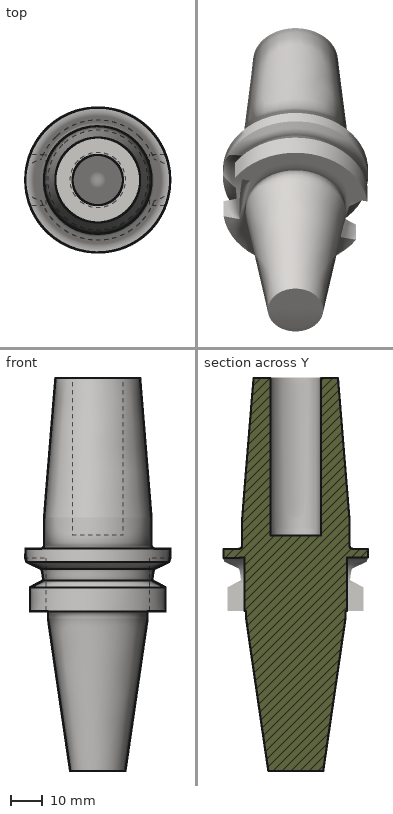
import cadquery as cq
import math

total_height = 124.6
gauge_height = 48.3
flange_bottom = 50.6
flange_thickness = 19.9
flange_top = flange_bottom + flange_thickness
nose_cone_start = 80.2

gauge_radius = 15.8
flange_radius = 22.99
groove_radius = 19.1
nose_radius = 17.1
nose_tip_radius = 13.5
bore_radius = 8.0

taper_on_diameter = 7 / 24
taper_end_radius = gauge_radius - gauge_height * taper_on_diameter / 2

groove_floor_bottom = 60.4
groove_floor_width = 3.6
groove_flank_angle = 60
groove_floor_top = groove_floor_bottom + groove_floor_width
groove_flank_rise = (flange_radius - groove_radius) / math.tan(math.radians(groove_flank_angle))

nose_fillet = 1.0

slot_width = 16.1
slot_radius = slot_width / 2
slot_top = 67.5
slot_center_height = slot_top - slot_radius
slot_floor_offset = 16.3

bore_depth = 49.8


def make_body():
    """Revolve the half profile of shank, flange and nose."""
    fillet_mid = nose_fillet * (1 - math.sqrt(0.5))
    return (
        cq.Workplane("XZ")
        .moveTo(0, 0)
        .lineTo(taper_end_radius, 0)
        .lineTo(gauge_radius, gauge_height)
        .lineTo(gauge_radius, flange_bottom)
        .lineTo(flange_radius, flange_bottom)
        .lineTo(flange_radius, groove_floor_bottom - groove_flank_rise)
        .lineTo(groove_radius, groove_floor_bottom)
        .lineTo(groove_radius, groove_floor_top)
        .lineTo(flange_radius, groove_floor_top + groove_flank_rise)
        .lineTo(flange_radius, flange_top)
        .lineTo(nose_radius + nose_fillet, flange_top)
        .threePointArc(
            (nose_radius + fillet_mid, flange_top + fillet_mid),
            (nose_radius, flange_top + nose_fillet),
        )
        .lineTo(nose_radius, nose_cone_start)
        .lineTo(nose_tip_radius, total_height)
        .lineTo(0, total_height)
        .close()
        .revolve(360, (0, 0, 0), (0, 1, 0))
    )


def make_drive_slot(side):
    """Cutter for the slot on the +X (side = 1) or -X (side = -1) flank."""
    return (
        cq.Workplane("YZ", origin=(side * slot_floor_offset, 0, 0))
        .moveTo(-slot_radius, flange_bottom)
        .lineTo(slot_radius, flange_bottom)
        .lineTo(slot_radius, slot_center_height)
        .threePointArc((0, slot_top), (-slot_radius, slot_center_height))
        .close()
        .extrude(side * flange_radius)
    )


def make_bore():
    """Blind tool bore sunk from the nose face."""
    return (
        cq.Workplane("XY", origin=(0, 0, total_height))
        .circle(bore_radius)
        .extrude(-bore_depth)
    )


result = make_body().cut(make_bore())
for slot_side in (-1, 1):
    result = result.cut(make_drive_slot(slot_side))